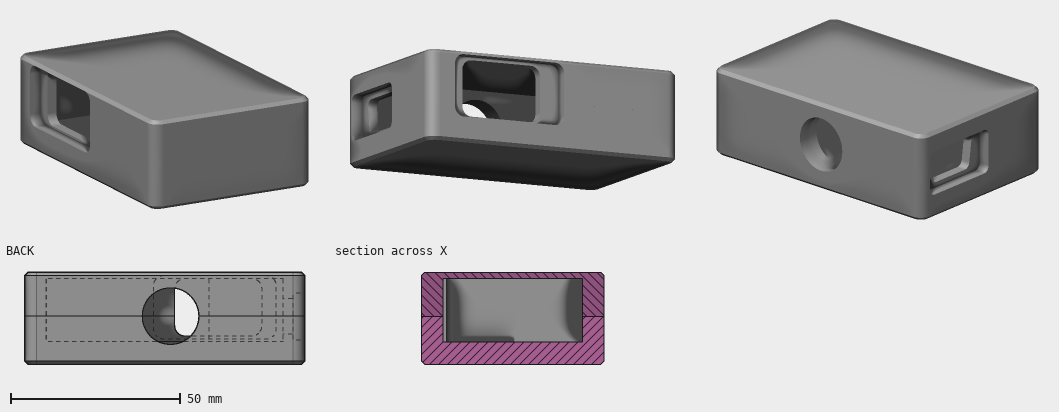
import cadquery as cq
import math

length = 82.75
width = 54.05
height = 27.25
corner_radius = 3.5
edge_chamfer = 1.0
seam_z = 0.65

wall = 6.5
floor_thickness = 6.75
roof_thickness = 1.9
relief_radius = 1.5
relief_angle = math.radians(30)
relief_centre_y = 18.2
back_step_x = -13.1

recess_depth = 3.5
window_x = -15.8
window_length = 25.7
window_bottom = -5.2
window_corner = 3.0
window_recess_x = -14.8
window_recess_length = 36.2
window_recess_bottom = -6.1
window_recess_corner = 3.0

port_y = 10.3
port_top = 5.8
port_bottom = -4.65
port_top_width = 19.2
port_bottom_width = 16.3
port_corner = 2.0
port_recess_width = 26.0
port_recess_top = 7.5
port_recess_bottom = -6.35
port_recess_corner = 2.0

round_hole_x = -1.7
round_hole_radius = 8.35

left_x = -length / 2
front_y = -width / 2
back_y = width / 2
bottom_z = -height / 2
top_z = height / 2
cavity_left = left_x + wall
cavity_right = length / 2 - wall
cavity_front = front_y + wall
cavity_back = back_y - wall
cavity_floor = bottom_z + floor_thickness
cavity_roof = top_z - roof_thickness
window_recess_top = top_z - edge_chamfer


def rounded_block(x_range, y_range, z_range, edges, radius):
    """Block between the given limits, with the chosen edges rounded."""
    spans = [high - low for low, high in (x_range, y_range, z_range)]
    corner = (x_range[0], y_range[0], z_range[0])
    block = cq.Workplane("XY").box(*spans, centered=False).translate(corner)
    return block.edges(edges).fillet(radius)


def outer_block():
    """Full case outside: rounded upright corners, chamfered top and bottom rims."""
    block = cq.Workplane("XY").box(length, width, height)
    block = block.edges("|Z").fillet(corner_radius)
    return block.faces("<Z or >Z").edges().chamfer(edge_chamfer)


def cavity():
    """Inner space: deeper at the back on the left, with a round relief in the far corner."""
    relief_centre_x = cavity_right - relief_radius * math.cos(relief_angle)
    relief_start_y = relief_centre_y - relief_radius * math.sin(relief_angle)
    shallow_back = relief_centre_y + relief_radius
    return (
        cq.Workplane("XY", origin=(0, 0, cavity_floor))
        .moveTo(cavity_left, cavity_front)
        .lineTo(cavity_right, cavity_front)
        .lineTo(cavity_right, relief_start_y)
        .threePointArc(
            (relief_centre_x + relief_radius, relief_centre_y),
            (relief_centre_x, shallow_back),
        )
        .lineTo(back_step_x, shallow_back)
        .lineTo(back_step_x, cavity_back)
        .lineTo(cavity_left, cavity_back)
        .close()
        .extrude(cavity_roof - cavity_floor)
    )


def front_window():
    """Rounded window through the front wall and the wider recess around it."""
    recess = rounded_block(
        (window_recess_x - window_recess_length / 2, window_recess_x + window_recess_length / 2),
        (front_y, front_y + recess_depth),
        (window_recess_bottom, window_recess_top),
        "|Y",
        window_recess_corner,
    )
    window = rounded_block(
        (window_x - window_length / 2, window_x + window_length / 2),
        (front_y, cavity_front),
        (window_bottom, cavity_roof),
        "|Y",
        window_corner,
    )
    return recess.union(window)


def side_port():
    """Tapered port through the -X wall and the wider recess around it."""
    recess = rounded_block(
        (left_x, left_x + recess_depth),
        (port_y - port_recess_width / 2, port_y + port_recess_width / 2),
        (port_recess_bottom, port_recess_top),
        "|X",
        port_recess_corner,
    )
    port = (
        cq.Workplane("YZ", origin=(left_x, 0, 0))
        .moveTo(port_y - port_bottom_width / 2, port_bottom)
        .lineTo(port_y + port_bottom_width / 2, port_bottom)
        .lineTo(port_y + port_top_width / 2, port_top)
        .lineTo(port_y - port_top_width / 2, port_top)
        .close()
        .extrude(wall)
        .edges("|X")
        .fillet(port_corner)
    )
    return recess.union(port)


def back_hole():
    """Round hole from the mid plane of the cavity out through the back wall."""
    return (
        cq.Workplane("XZ", origin=(round_hole_x, back_y, seam_z))
        .circle(round_hole_radius)
        .extrude(back_y)
    )


def half_space(low_z, high_z):
    """Slab covering the whole case between two heights."""
    return (
        cq.Workplane("XY", origin=(0, 0, low_z))
        .rect(length, width)
        .extrude(high_z - low_z)
    )


case = outer_block().cut(cavity()).cut(front_window()).cut(side_port()).cut(back_hole())

base = case.intersect(half_space(bottom_z, seam_z))
lid = case.intersect(half_space(seam_z, top_z))

result = cq.Compound.makeCompound([base.val(), lid.val()])